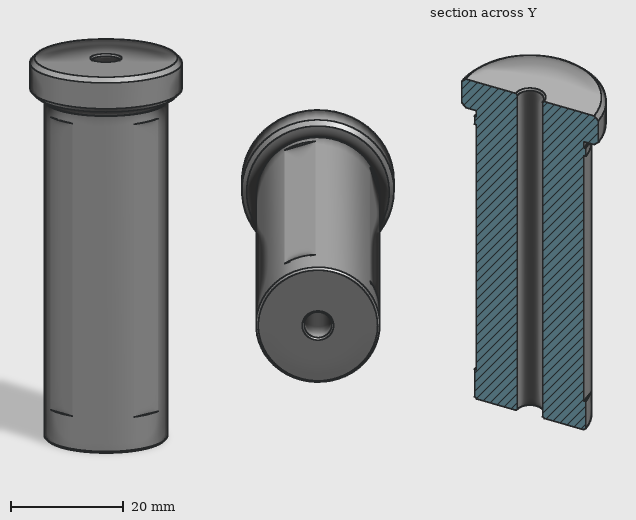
import cadquery as cq

total_height = 69.85
head_diameter = 27.0
head_height = 6.4
shank_diameter = 22.0

head_top_chamfer = 0.85
head_bottom_chamfer = 0.85
shank_end_chamfer = 0.4

groove_diameter = 21.4
groove_width = 1.25

bore_diameter = 4.9
bore_chamfer = 0.35

flat_count = 4
flat_width = 5.7
flat_bottom = 6.4
flat_top = 60.35

head_bottom = total_height - head_height
shank_radius = shank_diameter / 2
flat_distance = (shank_radius**2 - (flat_width / 2) ** 2) ** 0.5


def make_body():
    """Shank with a chamfered head on top."""
    shank = cq.Workplane("XY").circle(shank_radius).extrude(head_bottom)
    shank = shank.faces("<Z").chamfer(shank_end_chamfer)
    head = cq.Workplane("XY").workplane(offset=head_bottom).circle(head_diameter / 2).extrude(head_height)
    head = head.faces(">Z").chamfer(head_top_chamfer).faces("<Z").chamfer(head_bottom_chamfer)
    return shank.union(head)


def make_groove():
    """Ring that cuts the relief groove under the head."""
    return (
        cq.Workplane("XY")
        .workplane(offset=head_bottom - groove_width)
        .circle(head_diameter / 2)
        .circle(groove_diameter / 2)
        .extrude(groove_width)
    )


def make_flat_cutter(angle):
    """Block that cuts one flat, turned to its place around the axis."""
    block = cq.Workplane("XY").box(
        shank_radius, flat_width, flat_top - flat_bottom, centered=(False, True, False)
    )
    return block.translate((flat_distance, 0, flat_bottom)).rotate((0, 0, 0), (0, 0, 1), angle)


def make_bore():
    """Through hole with a chamfered mouth at both ends."""
    mouth_radius = bore_diameter / 2 + bore_chamfer
    bore = cq.Workplane("XY").circle(bore_diameter / 2).extrude(total_height)
    mouth = cq.Workplane("XY").circle(mouth_radius).extrude(bore_chamfer, taper=45)
    top_mouth = mouth.mirror("XY").translate((0, 0, total_height))
    return bore.union(mouth).union(top_mouth)


result = make_body().cut(make_groove())
for index in range(flat_count):
    result = result.cut(make_flat_cutter(index * 360 / flat_count))
result = result.cut(make_bore())